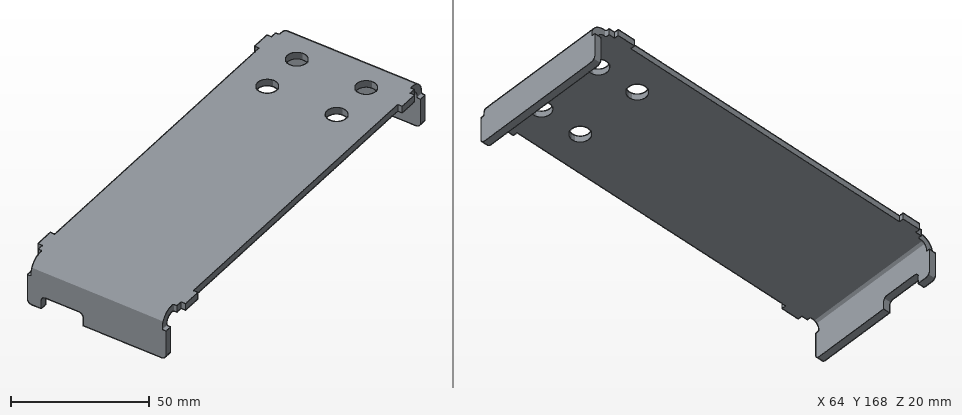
import cadquery as cq

length = 168.0
tab_width = 64.0
height = 20.0
thickness = 3.0
bend_radius = 6.0

body_width = 60.1
bend_width = 57.0
relief_end = 7.0
relief_radius = 0.5
corner_radius = 2.0

tab_start = 9.7
tab_length = 8.0

hole_diameter = 8.2
hole_spacing_x = 30.0
hole_spacing_y = 19.2
hole_end_distance = 15.8

notch_left = -24.0
notch_right = -5.9
notch_height = 5.5
notch_radius = 1.8

half_length = length / 2


def folded_strip():
    """U-shaped sheet as wide as the bends, with its top at Z = 0.

    Its legs end above the rounded flange corners; the flanges complete them.
    """
    leg_height = height - corner_radius
    outer = (
        cq.Workplane("XY")
        .box(bend_width, length, leg_height, centered=(True, True, False))
        .translate((0, 0, -leg_height))
        .edges("|X and >Z")
        .fillet(bend_radius)
    )
    inner = (
        cq.Workplane("XY")
        .box(bend_width, length - 2 * thickness, leg_height, centered=(True, True, False))
        .translate((0, 0, -leg_height - thickness))
        .edges("|X and >Z")
        .fillet(bend_radius - thickness)
    )
    return outer.cut(inner)


def top_plate(width, plate_length, center_y=0):
    """Flat piece of the top sheet."""
    return (
        cq.Workplane("XY")
        .center(0, center_y)
        .rect(width, plate_length)
        .extrude(-thickness)
    )


def flange(side):
    """Full-width lower part of one end flange; side is -1 or 1."""
    flange_height = height - relief_end
    return (
        cq.Workplane("XY")
        .box(body_width, thickness, flange_height)
        .edges("|Y and <Z")
        .fillet(corner_radius)
        .translate((0, side * (half_length - thickness / 2), -height + flange_height / 2))
    )


def flange_notch():
    """Cutter for the round-cornered notch in the -Y flange."""
    return (
        cq.Workplane("XY")
        .box(notch_right - notch_left, thickness, notch_height)
        .edges("|Y and >Z")
        .fillet(notch_radius)
        .translate((
            (notch_left + notch_right) / 2,
            -half_length + thickness / 2,
            -height + notch_height / 2,
        ))
    )


def mounting_holes():
    """Cutter for the four round holes through the top sheet."""
    return (
        cq.Workplane("XY")
        .center(0, half_length - hole_end_distance - hole_spacing_y / 2)
        .rarray(hole_spacing_x, hole_spacing_y, 2, 2)
        .circle(hole_diameter / 2)
        .extrude(-thickness)
    )


def relief_corners(sheet, direction, corner_y, corner_z):
    """Round the two inside relief corners running along direction at the given Y and Z."""
    for side_x in (-1, 1):
        corner = (side_x * bend_width / 2, corner_y, corner_z)
        edge = cq.selectors.NearestToPointSelector(corner)
        sheet = sheet.edges(direction).edges(edge).fillet(relief_radius)
    return sheet


result = folded_strip().union(top_plate(body_width, length - 2 * relief_end))
for side in (-1, 1):
    tab_center_y = side * (half_length - tab_start - tab_length / 2)
    result = result.union(top_plate(tab_width, tab_length, tab_center_y))
    result = result.union(flange(side))
for side in (-1, 1):
    result = relief_corners(result, "|Z", side * (half_length - relief_end), -thickness / 2)
    result = relief_corners(result, "|Y", side * (half_length - thickness / 2), -relief_end)
result = result.cut(flange_notch()).cut(mounting_holes())